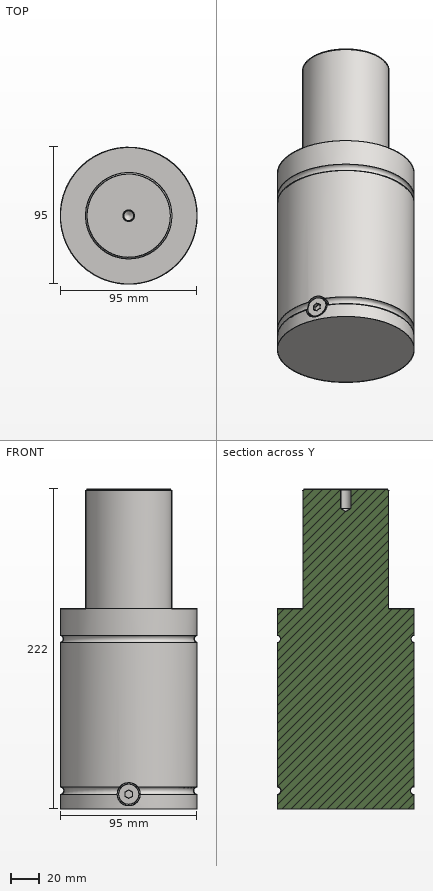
import cadquery as cq
import math

total_height = 222.0
body_diameter = 95.0
body_height = 139.2
rod_diameter = 60.0
rod_chamfer = 1.0

upper_groove_bottom = 115.7
upper_groove_height = 4.9
upper_groove_depth = 2.0
lower_groove_bottom = 10.2
lower_groove_height = 5.3
lower_groove_depth = 2.5

rod_hole_diameter = 6.9
rod_hole_mouth_diameter = 8.0
rod_hole_depth = 13.3
drill_tip_angle = 118.0

plug_height = 10.5
plug_recess_diameter = 16.0
plug_diameter = 14.0
plug_recess_depth = 3.5
plug_face_inset = 0.7
hex_across_flats = 5.0
hex_depth = 2.7

body_radius = body_diameter / 2
rod_radius = rod_diameter / 2


def make_body_and_rod():
    body = cq.Workplane("XY").circle(body_radius).extrude(body_height)
    rod = (
        cq.Workplane("XY")
        .workplane(offset=body_height)
        .circle(rod_radius)
        .extrude(total_height - body_height)
        .faces(">Z")
        .chamfer(rod_chamfer)
    )
    return body.union(rod)


def make_arc_groove(bottom, height, depth):
    """Ring cutter with a circular-arc profile."""
    return (
        cq.Workplane("XZ")
        .moveTo(body_radius, bottom)
        .threePointArc((body_radius - depth, bottom + height / 2), (body_radius, bottom + height))
        .close()
        .revolve(360, (0, 0, 0), (0, 1, 0))
    )


def make_rod_hole():
    """Drilled hole with a conical bottom and a chamfered mouth."""
    hole_radius = rod_hole_diameter / 2
    mouth_radius = rod_hole_mouth_diameter / 2
    mouth_depth = mouth_radius - hole_radius
    tip_depth = hole_radius / math.tan(math.radians(drill_tip_angle / 2))
    floor_height = total_height - rod_hole_depth
    return (
        cq.Workplane("XZ")
        .moveTo(0, total_height)
        .lineTo(mouth_radius, total_height)
        .lineTo(hole_radius, total_height - mouth_depth)
        .lineTo(hole_radius, floor_height)
        .lineTo(0, floor_height - tip_depth)
        .close()
        .revolve(360, (0, 0, 0), (0, 1, 0))
    )


def plug_plane(inset):
    """Plane facing -Y on the plug axis, set in from the body's outermost line."""
    origin = (0, inset - body_radius, plug_height)
    return cq.Workplane(cq.Plane(origin=origin, normal=(0, -1, 0), xDir=(1, 0, 0)))


def add_plug(part):
    recess = plug_plane(0).circle(plug_recess_diameter / 2).extrude(-plug_recess_depth)
    plug_length = plug_recess_depth - plug_face_inset
    plug = plug_plane(plug_face_inset).circle(plug_diameter / 2).extrude(-plug_length)
    hex_across_corners = hex_across_flats / math.cos(math.pi / 6)
    socket = (
        plug_plane(plug_face_inset)
        .transformed(rotate=(0, 0, 90))
        .polygon(6, hex_across_corners)
        .extrude(-hex_depth)
    )
    return part.cut(recess).union(plug).cut(socket)


result = make_body_and_rod()
result = result.cut(make_arc_groove(upper_groove_bottom, upper_groove_height, upper_groove_depth))
result = result.cut(make_arc_groove(lower_groove_bottom, lower_groove_height, lower_groove_depth))
result = result.cut(make_rod_hole())
result = add_plug(result)